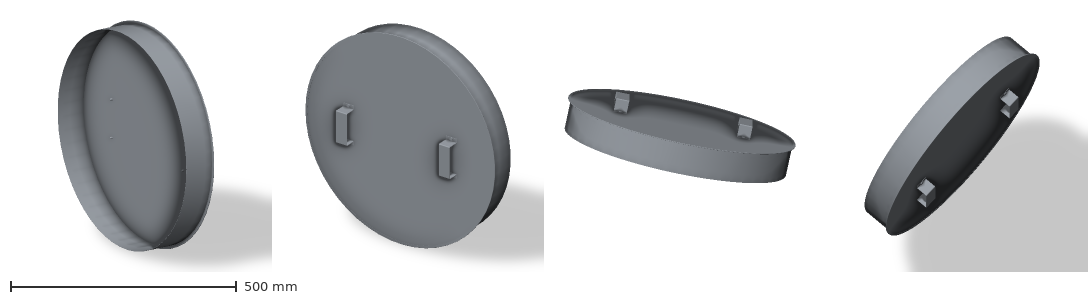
import cadquery as cq

RIM_DIAMETER = 515.5
WALL_INNER_DIAMETER = 500.5
WALL_OUTER_DIAMETER = 501.5
LIP_INNER_DIAMETER = 503.5
RIM_FRONT_Y = 68.5
RIM_FRONT_THICKNESS = 0.9
RIM_BACK_THICKNESS = 0.5
RIM_ROUNDING = 0.6

DISC_DIAMETER = 511.0
DISC_THICKNESS = 0.5

OVERALL_DEPTH = 98.5
BRACKET_SPACING = 279.5
BRACKET_WIDTH = 29.5
BRACKET_SPAN = 80.0
FOOT_LENGTH = 9.5
BRACKET_SHEET = 1.0
BRACKET_INNER_BEND = 1.0

RIVET_SPACING = 90.0
RIVET_SHANK_DIAMETER = 5.1
RIVET_HEAD_DIAMETER = 8.0
RIVET_HEAD_HEIGHT = 2.0
RIVET_TIP_LENGTH = 5.0
RIVET_TIP_CHAMFER = 1.5

DISC_FRONT_Y = RIM_FRONT_Y + RIM_FRONT_THICKNESS
DISC_BACK_Y = DISC_FRONT_Y + DISC_THICKNESS
RIM_BACK_Y = DISC_BACK_Y + RIM_BACK_THICKNESS
FOOT_BACK_Y = DISC_BACK_Y + BRACKET_SHEET
BRACKET_XS = [side * BRACKET_SPACING / 2 for side in (-1, 1)]
RIVET_ZS = [side * RIVET_SPACING / 2 for side in (-1, 1)]


def cylinder_along_y(diameter, start_y, end_y, x=0, z=0):
    base = cq.Workplane("XZ", origin=(x, start_y, z)).circle(diameter / 2)
    return base.extrude(start_y - end_y)


def cut_rivet_holes(body, xs, start_y, end_y):
    for x in xs:
        for z in RIVET_ZS:
            body = body.cut(cylinder_along_y(RIVET_SHANK_DIAMETER, start_y, end_y, x, z))
    return body


def make_drum():
    wall = cylinder_along_y(WALL_OUTER_DIAMETER, 0, RIM_FRONT_Y)
    rim = cylinder_along_y(RIM_DIAMETER, RIM_FRONT_Y, RIM_BACK_Y).edges().fillet(RIM_ROUNDING)
    bore = cylinder_along_y(WALL_INNER_DIAMETER, 0, DISC_FRONT_Y)
    groove = cylinder_along_y(DISC_DIAMETER, DISC_FRONT_Y, DISC_BACK_Y)
    lip_opening = cylinder_along_y(LIP_INNER_DIAMETER, DISC_BACK_Y, RIM_BACK_Y)
    return wall.union(rim).cut(bore).cut(groove).cut(lip_opening)


def make_disc():
    disc = cylinder_along_y(DISC_DIAMETER, DISC_FRONT_Y, DISC_BACK_Y)
    return cut_rivet_holes(disc, BRACKET_XS, DISC_FRONT_Y, DISC_BACK_Y)


def make_bracket(x):
    def block(length, end_y):
        base = cq.Workplane("XZ", origin=(x, DISC_BACK_Y, 0)).rect(BRACKET_WIDTH, length)
        return base.extrude(DISC_BACK_Y - end_y)

    outside = block(BRACKET_SPAN, OVERALL_DEPTH)
    outside = outside.edges(">Y and |X").fillet(BRACKET_INNER_BEND + BRACKET_SHEET)
    inside = block(BRACKET_SPAN - 2 * BRACKET_SHEET, OVERALL_DEPTH - BRACKET_SHEET)
    inside = inside.edges(">Y and |X").fillet(BRACKET_INNER_BEND)
    feet = block(BRACKET_SPAN + 2 * FOOT_LENGTH, FOOT_BACK_Y)
    bracket = outside.union(feet).cut(inside)
    return cut_rivet_holes(bracket, [x], DISC_BACK_Y, FOOT_BACK_Y)


def make_rivet(x, z):
    shank = cylinder_along_y(RIVET_SHANK_DIAMETER, DISC_FRONT_Y - RIVET_TIP_LENGTH, FOOT_BACK_Y, x, z)
    shank = shank.faces("<Y").edges().chamfer(RIVET_TIP_CHAMFER)
    head = cylinder_along_y(RIVET_HEAD_DIAMETER, FOOT_BACK_Y, FOOT_BACK_Y + RIVET_HEAD_HEIGHT, x, z)
    return shank.union(head)


drum = make_drum()
disc = make_disc()
brackets = [make_bracket(x) for x in BRACKET_XS]
rivets = [make_rivet(x, z) for x in BRACKET_XS for z in RIVET_ZS]

bodies = [drum, disc, *brackets, *rivets]
result = cq.Compound.makeCompound([body.val() for body in bodies])